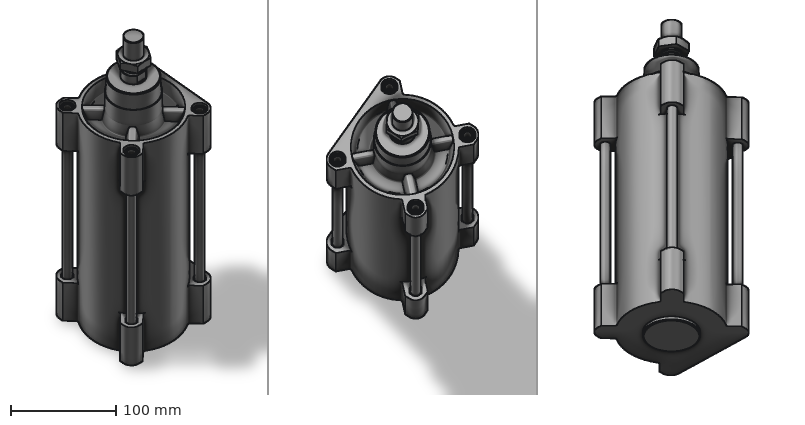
import cadquery as cq
import math

TOTAL_LENGTH = 356.5
THREAD_LENGTH = 40.0
COLLAR_TOP_Z = 306.0
COLLAR_STEP_Z = 286.5
FRONT_CAP_TOP_Z = 267.0
CAP_HEIGHT = 48.0
REAR_CAP_BOTTOM_Z = 4.3
FRONT_CAP_BOTTOM_Z = FRONT_CAP_TOP_Z - CAP_HEIGHT
REAR_CAP_TOP_Z = REAR_CAP_BOTTOM_Z + CAP_HEIGHT
THREAD_BOTTOM_Z = TOTAL_LENGTH - THREAD_LENGTH

BARREL_RADIUS = 53.5
TIE_ROD_DIAMETER = 10.0
TIE_ROD_CLEARANCE_DIAMETER = 12.0
TIE_ROD_CLEARANCE_DEPTH = 3.5
TIE_ROD_OFFSET = 44.5

CAP_WIDTH = 110.0
CAP_HALF_WIDTH = CAP_WIDTH / 2
LUG_RADIUS = CAP_HALF_WIDTH - TIE_ROD_OFFSET
LUG_FLAT = 5.0
LUG_NECK_FILLET = 2.0

SEAT_DIAMETER = 15.7
SEAT_DEPTH = 5.0
SCREW_HEAD_DIAMETER = 13.0
SCREW_HEAD_HEIGHT = 3.5
SCREW_HEAD_CHAMFER = 0.5
SCREW_THREAD_DIAMETER = 10.0
SCREW_BORE_DIAMETER = 8.2
SCREW_BORE_DEPTH = 14.3
SCREW_TIP_DIAMETER = 5.5
SCREW_TIP_DEPTH = 3.5

POCKET_DEPTH = 12.0
POCKET_TOP_RADIUS = 49.2
POCKET_FLOOR_RADIUS = 44.2
HUB_FLOOR_RADIUS = 30.5
POCKET_FILLET = 1.8
RIB_DROP = 1.0
RIB_TOP_HALF_WIDTH = 3.2
RIB_FLOOR_HALF_WIDTH = 6.5
RIB_EDGE_FILLET = 3.0

COLLAR_RADIUS = 27.5
COLLAR_NECK_RADIUS = 26.7
COLLAR_TIP_RADIUS = 26.0
COLLAR_CHAMFER = 1.0

ROD_DIAMETER = 25.0
ROD_FLAT_WIDTH = 22.0
ROD_FLAT_LENGTH = 9.5
ROD_CHAMFER = 0.5
THREAD_DIAMETER = 20.0
THREAD_CHAMFER = 0.7
UNDERCUT_DIAMETER = 18.0
UNDERCUT_LENGTH = 3.2
UNDERCUT_TAPER_LENGTH = 1.8

NUT_TOP_Z = 333.7
NUT_HEIGHT = 10.0
NUT_WIDTH = 30.0
NUT_CHAMFER_ANGLE = 30.0

LUG_CENTERS = [(x * TIE_ROD_OFFSET, y * TIE_ROD_OFFSET) for x in (-1, 1) for y in (-1, 1)]


def cylinder(diameter, bottom_z, top_z, centers=((0, 0),)):
    """Vertical cylinder at each center."""
    return (
        cq.Workplane("XY", origin=(0, 0, bottom_z))
        .pushPoints(list(centers))
        .circle(diameter / 2)
        .extrude(top_z - bottom_z)
    )


def revolved(profile):
    """Solid of revolution about Z from (radius, z) points."""
    return cq.Workplane("XZ").polyline(profile).close().revolve(360, (0, 0, 0), (0, 1, 0))


def lug_outline():
    """Lug in the +X +Y corner: tangent flats round the tie rod, then 45 degree flanks inwards."""
    flat_end = TIE_ROD_OFFSET - LUG_FLAT
    arc_middle = TIE_ROD_OFFSET + LUG_RADIUS * math.sqrt(0.5)
    inner = CAP_HALF_WIDTH - flat_end
    return (
        cq.Workplane("XY")
        .moveTo(inner, 0)
        .lineTo(CAP_HALF_WIDTH, flat_end)
        .lineTo(CAP_HALF_WIDTH, TIE_ROD_OFFSET)
        .threePointArc((arc_middle, arc_middle), (TIE_ROD_OFFSET, CAP_HALF_WIDTH))
        .lineTo(flat_end, CAP_HALF_WIDTH)
        .lineTo(0, inner)
        .close()
    )


def is_neck_edge(edge):
    """True for a vertical edge where a lug flank meets the round cap."""
    center = edge.Center()
    on_circle = abs(math.hypot(center.x, center.y) - BARREL_RADIUS) < 0.05
    return on_circle and abs(abs(center.x) - abs(center.y)) > 3.5


def end_cap_blank(bottom_z):
    """Round cap with four tie rod lugs and a flat +Y side."""
    cap = cylinder(2 * BARREL_RADIUS, 0, CAP_HEIGHT)
    lug = lug_outline().extrude(CAP_HEIGHT)
    for quarter in range(4):
        cap = cap.union(lug.rotate((0, 0, 0), (0, 0, 1), 90 * quarter))
    flat_side = cq.Workplane("XY").rect(2 * TIE_ROD_OFFSET, CAP_HALF_WIDTH).extrude(CAP_HEIGHT)
    cap = cap.union(flat_side.translate((0, CAP_HALF_WIDTH / 2, 0)))
    necks = cap.edges("|Z").filter(is_neck_edge)
    return cap.newObject(necks.vals()).fillet(LUG_NECK_FILLET).translate((0, 0, bottom_z))


def pocket():
    """Ring pocket with drafted walls, filleted at the floor and crossed by four ribs."""
    floor_z = FRONT_CAP_TOP_Z - POCKET_DEPTH
    ring = revolved([
        (COLLAR_RADIUS, FRONT_CAP_TOP_Z),
        (POCKET_TOP_RADIUS, FRONT_CAP_TOP_Z),
        (POCKET_FLOOR_RADIUS, floor_z),
        (HUB_FLOOR_RADIUS, floor_z),
    ])
    ring = ring.faces("<Z").edges().fillet(POCKET_FILLET)
    rib_length = 2 * BARREL_RADIUS
    rib = (
        cq.Workplane("XZ")
        .polyline([
            (-RIB_FLOOR_HALF_WIDTH, floor_z),
            (-RIB_TOP_HALF_WIDTH, FRONT_CAP_TOP_Z - RIB_DROP),
            (RIB_TOP_HALF_WIDTH, FRONT_CAP_TOP_Z - RIB_DROP),
            (RIB_FLOOR_HALF_WIDTH, floor_z),
        ])
        .close()
        .extrude(rib_length / 2, both=True)
        .faces(">Z")
        .edges("|Y")
        .fillet(RIB_EDGE_FILLET)
    )
    for angle in (45, 135):
        ring = ring.cut(rib.rotate((0, 0, 0), (0, 0, 1), angle))
    return ring


def add_screw_seats(cap):
    """Recess each corner for a hollow tie rod screw."""
    seat_z = FRONT_CAP_TOP_Z - SEAT_DEPTH
    head_z = seat_z + SCREW_HEAD_HEIGHT
    bore_z = head_z - SCREW_BORE_DEPTH
    countersink = (SCREW_THREAD_DIAMETER - SCREW_BORE_DIAMETER) / 2
    heads = cylinder(SCREW_HEAD_DIAMETER, seat_z, head_z, LUG_CENTERS)
    heads = heads.faces(">Z").edges().chamfer(SCREW_HEAD_CHAMFER)
    cap = cap.cut(cylinder(SEAT_DIAMETER, seat_z, FRONT_CAP_TOP_Z, LUG_CENTERS)).union(heads)
    bore = revolved([
        (0, head_z),
        (SCREW_THREAD_DIAMETER / 2, head_z),
        (SCREW_BORE_DIAMETER / 2, head_z - countersink),
        (SCREW_BORE_DIAMETER / 2, bore_z),
        (SCREW_TIP_DIAMETER / 2, bore_z),
        (SCREW_TIP_DIAMETER / 2, bore_z - SCREW_TIP_DEPTH),
        (0, bore_z - SCREW_TIP_DEPTH),
    ])
    for x, y in LUG_CENTERS:
        cap = cap.cut(bore.translate((x, y, 0)))
    return cap


def front_collar():
    """Stepped collar that guides the piston rod."""
    return revolved([
        (0, FRONT_CAP_BOTTOM_Z),
        (COLLAR_RADIUS, FRONT_CAP_BOTTOM_Z),
        (COLLAR_RADIUS, COLLAR_STEP_Z),
        (COLLAR_NECK_RADIUS, COLLAR_STEP_Z),
        (COLLAR_TIP_RADIUS, COLLAR_TOP_Z - COLLAR_CHAMFER),
        (COLLAR_TIP_RADIUS - COLLAR_CHAMFER, COLLAR_TOP_Z),
        (0, COLLAR_TOP_Z),
    ])


def build_housing():
    """Barrel, both end caps, collars and tie rods, with a bore for the piston rod."""
    front_cap = add_screw_seats(end_cap_blank(FRONT_CAP_BOTTOM_Z).cut(pocket()))
    clearance_bottom_z = REAR_CAP_TOP_Z - TIE_ROD_CLEARANCE_DEPTH
    rear_cap = end_cap_blank(REAR_CAP_BOTTOM_Z)
    rear_cap = rear_cap.cut(
        cylinder(TIE_ROD_CLEARANCE_DIAMETER, clearance_bottom_z, REAR_CAP_TOP_Z, LUG_CENTERS)
    )
    rear_collar = cylinder(2 * COLLAR_RADIUS, 0, REAR_CAP_TOP_Z).faces("<Z").edges().chamfer(COLLAR_CHAMFER)
    barrel = cylinder(2 * BARREL_RADIUS, REAR_CAP_TOP_Z, FRONT_CAP_BOTTOM_Z)
    tie_rods = cylinder(TIE_ROD_DIAMETER, clearance_bottom_z, FRONT_CAP_BOTTOM_Z, LUG_CENTERS)
    housing = rear_cap.union(rear_collar).union(barrel).union(front_cap).union(front_collar()).union(tie_rods)
    return housing.cut(cylinder(ROD_DIAMETER, FRONT_CAP_BOTTOM_Z, COLLAR_TOP_Z))


def build_piston_rod():
    """Rod with two wrench flats, a thread undercut and a threaded end."""
    rod_radius = ROD_DIAMETER / 2
    thread_radius = THREAD_DIAMETER / 2
    undercut_radius = UNDERCUT_DIAMETER / 2
    undercut_top_z = THREAD_BOTTOM_Z + UNDERCUT_LENGTH
    rod = revolved([
        (0, FRONT_CAP_BOTTOM_Z),
        (rod_radius, FRONT_CAP_BOTTOM_Z),
        (rod_radius, THREAD_BOTTOM_Z - ROD_CHAMFER),
        (rod_radius - ROD_CHAMFER, THREAD_BOTTOM_Z),
        (undercut_radius, THREAD_BOTTOM_Z),
        (undercut_radius, undercut_top_z),
        (thread_radius, undercut_top_z + UNDERCUT_TAPER_LENGTH),
        (thread_radius, TOTAL_LENGTH - THREAD_CHAMFER),
        (thread_radius - THREAD_CHAMFER, TOTAL_LENGTH),
        (0, TOTAL_LENGTH),
    ])
    flat_depth = (ROD_DIAMETER - ROD_FLAT_WIDTH) / 2
    for side in (-1, 1):
        flat = cq.Workplane("XY").box(flat_depth, ROD_DIAMETER, ROD_FLAT_LENGTH)
        flat_x = side * (ROD_FLAT_WIDTH + flat_depth) / 2
        rod = rod.cut(flat.translate((flat_x, 0, THREAD_BOTTOM_Z - ROD_FLAT_LENGTH / 2)))
    return rod


def build_lock_nut():
    """Hexagon nut with corners along Y, conically chamfered on its upper face."""
    nut_bottom_z = NUT_TOP_Z - NUT_HEIGHT
    corner_radius = NUT_WIDTH / 2 / math.cos(math.radians(30))
    corner_drop = (corner_radius - NUT_WIDTH / 2) * math.tan(math.radians(NUT_CHAMFER_ANGLE))
    nut = (
        cq.Workplane("XY", origin=(0, 0, nut_bottom_z))
        .polygon(6, 2 * corner_radius)
        .extrude(NUT_HEIGHT)
        .rotate((0, 0, 0), (0, 0, 1), 90)
    )
    chamfered_blank = revolved([
        (0, nut_bottom_z),
        (corner_radius, nut_bottom_z),
        (corner_radius, NUT_TOP_Z - corner_drop),
        (NUT_WIDTH / 2, NUT_TOP_Z),
        (0, NUT_TOP_Z),
    ])
    return nut.intersect(chamfered_blank).cut(cylinder(THREAD_DIAMETER, nut_bottom_z, NUT_TOP_Z))


housing = build_housing()
piston_rod = build_piston_rod()
lock_nut = build_lock_nut()

result = cq.Compound.makeCompound([housing.val(), piston_rod.val(), lock_nut.val()])